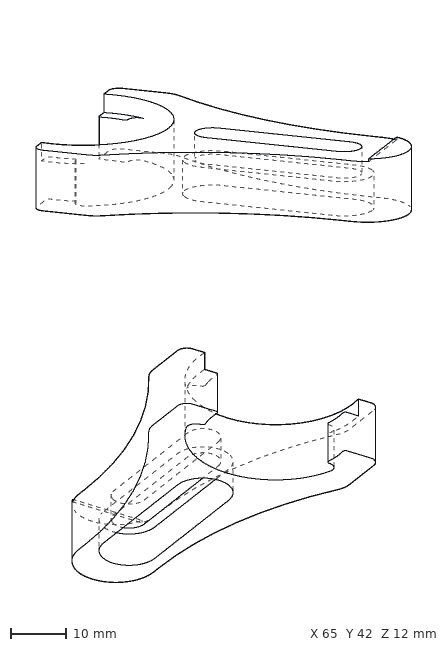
import cadquery as cq
import math

length = 65.0
fork_width = 42.0
height = 12.0
plate_height = 11.5

tip_radius = 8.0
neck_start_x = 54.8
shoulder_x = 10.45
shoulder_radius = 5.1
corner_radius = 2.0
tip_pad_x = 59.9

bore_x = 2.0
bore_radius = 16.5
lip_radius = 13.5
lip_height = 8.0
lip_end_x = 5.65
lip_corner_radius = 0.5
relief_radius = 1.75

slot_start_x = 27.05
slot_end_x = 52.45
slot_width = 6.5
under_slot_width = 10.9
slot_ledge_depth = 5.0

half_width = fork_width / 2
tip_x = length - tip_radius


def cylinder(x, y, radius, tall):
    return cq.Workplane("XY").center(x, y).circle(radius).extrude(tall)


def block(x_start, x_end, width, tall):
    at_origin = cq.Workplane("XY").box(x_end - x_start, width, tall, centered=(False, True, False))
    return at_origin.translate((x_start, 0, 0))


def make_body(tall):
    run = neck_start_x - shoulder_x
    shoulder_y = half_width - shoulder_radius
    rise = shoulder_y - tip_radius
    flank_radius = (run**2 + rise**2 - shoulder_radius**2) / (2 * (rise + shoulder_radius))
    flank_y = tip_radius + flank_radius
    slope = math.asin(run / (flank_radius + shoulder_radius))

    def on_shoulder(angle):
        return (
            shoulder_x + shoulder_radius * math.sin(angle),
            shoulder_y + shoulder_radius * math.cos(angle),
        )

    def on_flank(angle):
        return (
            neck_start_x - flank_radius * math.sin(angle),
            flank_y - flank_radius * math.cos(angle),
        )

    def mirrored(point):
        return (point[0], -point[1])

    outline = (
        cq.Workplane("XY")
        .moveTo(0, -half_width)
        .lineTo(0, half_width)
        .lineTo(shoulder_x, half_width)
        .threePointArc(on_shoulder(slope / 2), on_shoulder(slope))
        .threePointArc(on_flank(slope / 2), (neck_start_x, tip_radius))
        .lineTo(tip_x, tip_radius)
        .threePointArc((length, 0), (tip_x, -tip_radius))
        .lineTo(neck_start_x, -tip_radius)
        .threePointArc(mirrored(on_flank(slope / 2)), mirrored(on_shoulder(slope)))
        .threePointArc(mirrored(on_shoulder(slope / 2)), (shoulder_x, -half_width))
        .close()
    )
    return outline.extrude(tall).edges("|Z and <X").fillet(corner_radius)


def make_lips():
    ring = cylinder(bore_x, 0, bore_radius, lip_height).cut(cylinder(bore_x, 0, lip_radius, lip_height))
    relief_x = lip_end_x + relief_radius
    relief_y = math.sqrt((bore_radius - relief_radius) ** 2 - (relief_x - bore_x) ** 2)
    runout_x = bore_x + (relief_x - bore_x) * bore_radius / (bore_radius - relief_radius)
    lips = ring.intersect(block(0, runout_x, fork_width, lip_height))
    for side in (-1, 1):
        lips = lips.cut(cylinder(relief_x, side * relief_y, relief_radius, lip_height))
    lips = lips.cut(block(lip_end_x, runout_x, 2 * relief_y, lip_height))
    open_end_y = math.sqrt(lip_radius**2 - bore_x**2)
    tip_y = math.sqrt(lip_radius**2 - (lip_end_x - bore_x) ** 2)
    for x, y in ((0, open_end_y), (lip_end_x, tip_y)):
        for side in (-1, 1):
            corner = cq.selectors.NearestToPointSelector((x, side * y, lip_height / 2))
            lips = lips.edges("|Z").edges(corner).fillet(lip_corner_radius)
    return lips


def make_slot(width, tall):
    centre_distance = slot_end_x - slot_start_x
    slot = cq.Workplane("XY").center(slot_start_x + centre_distance / 2, 0)
    return slot.slot2D(centre_distance + width, width).extrude(tall)


body = make_body(height)
above_plate = block(0, tip_pad_x, fork_width, height - plate_height).translate((0, 0, plate_height))
body = body.cut(above_plate)
body = body.cut(cylinder(bore_x, 0, bore_radius, height))
body = body.union(make_lips())
body = body.cut(make_slot(slot_width, height))
result = body.cut(make_slot(under_slot_width, plate_height - slot_ledge_depth))